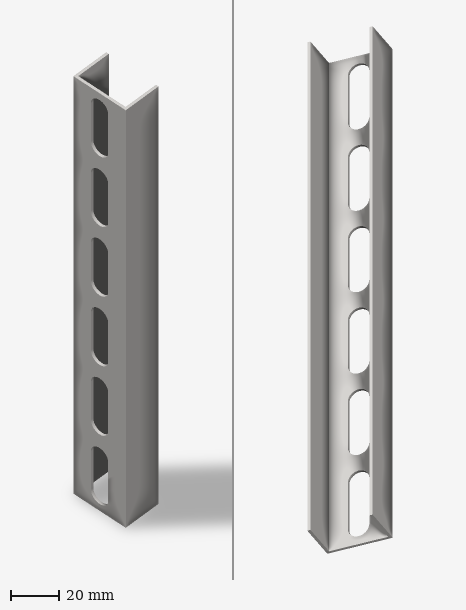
import cadquery as cq

length = 240.0
width = 30.0
depth = 20.0
wall = 1.5

slot_count = 6
slot_pitch = length / slot_count
slot_length = 32.2
slot_width = 9.8

outer = cq.Workplane("XY").box(width, depth, length)
cavity = cq.Workplane("XY").box(width - 2 * wall, depth, length).translate((0, wall, 0))
channel = outer.cut(cavity)

slots = (
    cq.Workplane("XZ", origin=(0, -depth / 2 + wall, 0))
    .rarray(2.5, slot_pitch, 1, slot_count)
    .slot2D(slot_length, slot_width, 90)
    .extrude(2 * wall)
)

result = channel.cut(slots)